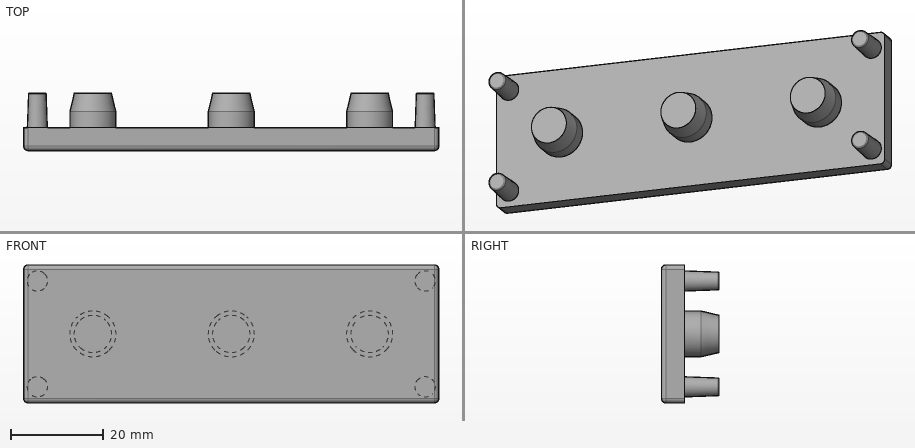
import cadquery as cq

plate_length = 90.0
plate_height = 30.0
plate_thickness = 5.0
edge_radius = 1.0

peg_length = 7.5

plug_count = 3
plug_pitch = plate_length / plug_count
plug_diameter = 10.0
plug_tip_diameter = 8.1
plug_straight_length = 3.5

pin_base_diameter = 4.4
pin_tip_diameter = 3.9
pin_tip_radius = 0.3
pin_end_inset = 3.0
pin_side_inset = 3.5

overall_depth = plate_thickness + peg_length
front_y = -overall_depth / 2
back_y = front_y + plate_thickness


def make_plate():
    """Rectangular plate with rounded corners and a rounded front rim; the back rim is sharp."""
    block = cq.Workplane("XY").box(plate_length, plate_thickness, plate_height)
    rounded = block.edges("|Y or <Y").fillet(edge_radius)
    return rounded.translate((0, front_y + plate_thickness / 2, 0))


def revolve_peg(profile):
    """Turn a half profile of (distance from the plate, radius) points about the Y axis."""
    return cq.Workplane("YZ").polyline(profile).close().revolve(360, (0, 0, 0), (1, 0, 0))


def make_plug():
    """Cylindrical plug with a conical end."""
    return revolve_peg([
        (0, 0),
        (0, plug_diameter / 2),
        (plug_straight_length, plug_diameter / 2),
        (peg_length, plug_tip_diameter / 2),
        (peg_length, 0),
    ])


def make_pin():
    """Slightly tapered pin with a rounded tip."""
    pin = revolve_peg([
        (0, 0),
        (0, pin_base_diameter / 2),
        (peg_length, pin_tip_diameter / 2),
        (peg_length, 0),
    ])
    return pin.faces(">Y").edges().fillet(pin_tip_radius)


result = make_plate()

plug = make_plug()
for index in range(plug_count):
    plug_x = (index - (plug_count - 1) / 2) * plug_pitch
    result = result.union(plug.translate((plug_x, back_y, 0)))

pin = make_pin()
pin_x = plate_length / 2 - pin_end_inset
pin_z = plate_height / 2 - pin_side_inset
for side_x in (-1, 1):
    for side_z in (-1, 1):
        result = result.union(pin.translate((side_x * pin_x, back_y, side_z * pin_z)))